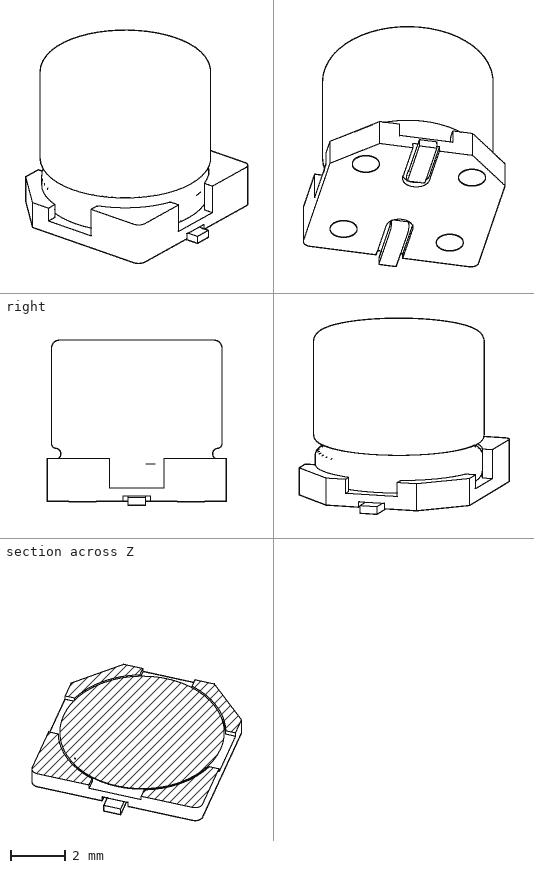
import cadquery as cq
import math

base_width = 6.6
base_bottom = 0.15
low_side_top = 1.175
tall_side_top = 1.74
corner_chamfer = 1.55
corner_round = 0.3
notch_width = 2.0
notch_floor = 0.65

foot_diameter = 1.0
foot_height = 0.02
foot_offset = 2.0

lead_span = 7.3
lead_width = 0.66
lead_thickness = 0.29
lead_inner_end = 1.365
lead_outer_bend = 0.2
lead_inner_bend = 0.05
recess_width = 1.0
recess_roof = 0.36
recess_round_center = 1.505

can_top = 6.1
can_radius = 6.3 / 2
can_edge_round = 0.315
neck_radius = 5.61 / 2
lower_ring_radius = 6.17 / 2
upper_shoulder = 2.29
neck_top = 1.91
neck_bottom = 1.9
lower_shoulder = 1.53

half_base = base_width / 2


def add_s_curve(profile, start, end):
    """Join two vertical walls with a pair of equal tangent arcs that meet halfway."""
    step = end[0] - start[0]
    drop = end[1] - start[1]
    radius = (step**2 + drop**2) / (4 * abs(step))
    half_turn = math.atan2(abs(step), abs(drop))
    across = math.copysign(radius * (1 - math.cos(half_turn)), step)
    along = math.copysign(radius * math.sin(half_turn), drop)
    middle = ((start[0] + end[0]) / 2, (start[1] + end[1]) / 2)
    profile = profile.threePointArc((start[0] + across, start[1] + along), middle)
    return profile.threePointArc((end[0] - across, end[1] - along), end)


def make_can():
    """Revolved can: rounded top and bottom edges with a rolled groove near the bottom."""
    profile = (
        cq.Workplane("XZ")
        .moveTo(0, can_top)
        .lineTo(can_radius - can_edge_round, can_top)
        .radiusArc((can_radius, can_top - can_edge_round), can_edge_round)
        .lineTo(can_radius, upper_shoulder)
    )
    profile = add_s_curve(profile, (can_radius, upper_shoulder), (neck_radius, neck_top))
    profile = profile.lineTo(neck_radius, neck_bottom)
    profile = add_s_curve(profile, (neck_radius, neck_bottom), (lower_ring_radius, lower_shoulder))
    profile = (
        profile.lineTo(lower_ring_radius, notch_floor + can_edge_round)
        .radiusArc((lower_ring_radius - can_edge_round, notch_floor), can_edge_round)
        .lineTo(0, notch_floor)
        .close()
    )
    return profile.revolve(360, (0, 0, 0), (0, 1, 0))


def make_base():
    """Square base, chamfered and low on the -X side, rounded and tall on the +X side."""
    tall_height = tall_side_top - base_bottom
    base = (
        cq.Workplane("XY", origin=(0, 0, base_bottom))
        .rect(base_width, base_width)
        .extrude(tall_height)
    )
    base = base.edges("|Z and <X").chamfer(corner_chamfer)
    base = base.edges("|Z and >X").fillet(corner_round)

    low_side = cq.Workplane("XY", origin=(-half_base / 2, 0, low_side_top))
    base = base.cut(low_side.rect(half_base, base_width).extrude(tall_height))

    notch = cq.Workplane("XY", origin=(0, 0, notch_floor))
    base = base.cut(notch.rect(notch_width, base_width).extrude(tall_height))
    base = base.cut(notch.rect(base_width, notch_width).extrude(tall_height))

    return base.cut(notch.circle(lower_ring_radius).extrude(tall_height))


def make_recess():
    """Recess under the -X edge, ending inward in a half circle."""
    length = half_base - recess_round_center
    floor_plane = cq.Workplane("XY", origin=(0, 0, base_bottom))
    depth = recess_roof - base_bottom
    straight = floor_plane.center(-recess_round_center - length / 2, 0)
    straight = straight.rect(length, recess_width).extrude(depth)
    round_end = floor_plane.center(-recess_round_center, 0).circle(recess_width / 2).extrude(depth)
    return straight.union(round_end)


def make_lead():
    """Flat lead on the -X side whose inner end bends up into the recess roof."""
    outer_end = -lead_span / 2
    leg_outer = -lead_inner_end
    leg_inner = leg_outer - lead_thickness
    return (
        cq.Workplane("XZ")
        .moveTo(outer_end, 0)
        .lineTo(leg_outer - lead_outer_bend, 0)
        .radiusArc((leg_outer, lead_outer_bend), -lead_outer_bend)
        .lineTo(leg_outer, recess_roof)
        .lineTo(leg_inner, recess_roof)
        .lineTo(leg_inner, lead_thickness + lead_inner_bend)
        .radiusArc((leg_inner - lead_inner_bend, lead_thickness), lead_inner_bend)
        .lineTo(outer_end, lead_thickness)
        .close()
        .extrude(lead_width / 2, both=True)
    )


def make_feet():
    """Four thin round standoffs below the base."""
    return (
        cq.Workplane("XY", origin=(0, 0, base_bottom))
        .rect(2 * foot_offset, 2 * foot_offset, forConstruction=True)
        .vertices()
        .circle(foot_diameter / 2)
        .extrude(-foot_height)
    )


body = make_base().union(make_can()).union(make_feet())
for side_angle in (0, 180):
    body = body.cut(make_recess().rotate((0, 0, 0), (0, 0, 1), side_angle))
    body = body.union(make_lead().rotate((0, 0, 0), (0, 0, 1), side_angle))

result = body